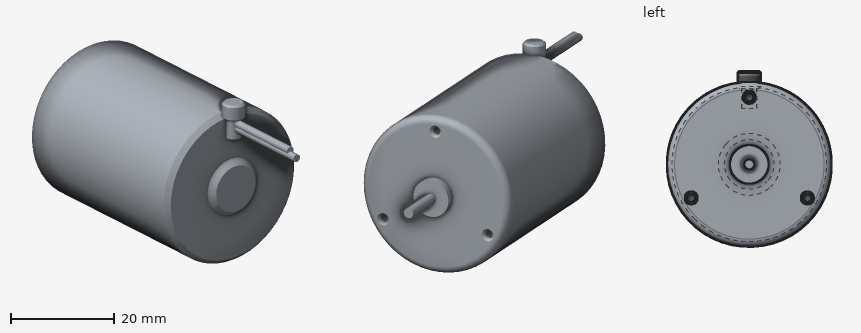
import cadquery as cq


body_diameter = 32.0
body_length = 43.7
front_edge_radius = 1.5
rear_edge_chamfer = 1.0

shaft_diameter = 2.0
shaft_reach = 12.0
pilot_diameter = 7.5
pilot_height = 2.0

bearing_base_diameter = 12.0
bearing_height = 1.2
bearing_taper_angle = 45.0

hole_count = 3
hole_circle_diameter = 26.0
hole_diameter = 1.6
hole_depth = 4.0
drill_point_depth = hole_diameter / 4
hole_mouth_diameter = 2.5
hole_mouth_depth = (hole_mouth_diameter - hole_diameter) / 2

grommet_x = body_length + 0.5
grommet_top_z = body_diameter / 2 + 2.14
grommet_head_diameter = 4.5
grommet_head_height = 3.4
grommet_head_chamfer = 0.4
grommet_stem_diameter = 3.0
grommet_stem_bottom_z = 10.8
grommet_head_bottom_z = grommet_top_z - grommet_head_height

wire_diameter = 1.6
wire_spacing = 0.95
wire_end_stagger = 2.0
overall_length = 76.19
lower_wire_end_x = overall_length - shaft_reach
upper_wire_end_x = lower_wire_end_x - wire_end_stagger
upper_wire_z = grommet_head_bottom_z - wire_diameter / 2
lower_wire_z = upper_wire_z - wire_spacing


def rod(diameter, start_x, end_x, z=0.0):
    """Cylinder parallel to X in the plane Y = 0."""
    return (
        cq.Workplane("YZ", origin=(start_x, 0, z))
        .circle(diameter / 2)
        .extrude(end_x - start_x)
    )


def make_body():
    body = rod(body_diameter, 0, body_length)
    body = body.faces("<X").edges().fillet(front_edge_radius)
    return body.faces(">X").edges().chamfer(rear_edge_chamfer)


def make_bearing_boss():
    return (
        cq.Workplane("YZ", origin=(body_length, 0, 0))
        .circle(bearing_base_diameter / 2)
        .extrude(bearing_height, taper=bearing_taper_angle)
    )


def make_mounting_hole():
    """Countersunk blind hole centred on the X axis, as a cutting solid."""
    hole_radius = hole_diameter / 2
    return (
        cq.Workplane("XY")
        .lineTo(0, hole_mouth_diameter / 2)
        .lineTo(hole_mouth_depth, hole_radius)
        .lineTo(hole_depth, hole_radius)
        .lineTo(hole_depth + drill_point_depth, 0)
        .close()
        .revolve(360, (0, 0, 0), (1, 0, 0))
    )


def cut_mounting_holes(motor):
    top_hole = make_mounting_hole().translate((0, 0, hole_circle_diameter / 2))
    for index in range(hole_count):
        motor = motor.cut(top_hole.rotate((0, 0, 0), (1, 0, 0), index * 360 / hole_count))
    return motor


def make_grommet():
    head = (
        cq.Workplane("XY", origin=(grommet_x, 0, grommet_head_bottom_z))
        .circle(grommet_head_diameter / 2)
        .extrude(grommet_head_height)
        .faces("<Z or >Z")
        .chamfer(grommet_head_chamfer)
    )
    stem = (
        cq.Workplane("XY", origin=(grommet_x, 0, grommet_stem_bottom_z))
        .circle(grommet_stem_diameter / 2)
        .extrude(grommet_head_bottom_z - grommet_stem_bottom_z)
    )
    return head.union(stem)


def make_wires():
    upper_wire = rod(wire_diameter, grommet_x, upper_wire_end_x, upper_wire_z)
    lower_wire = rod(wire_diameter, grommet_x, lower_wire_end_x, lower_wire_z)
    return upper_wire.union(lower_wire)


motor = cut_mounting_holes(make_body())
motor = motor.union(rod(pilot_diameter, -pilot_height, 0))
motor = motor.union(rod(shaft_diameter, -shaft_reach, -pilot_height))
motor = motor.union(make_bearing_boss())
motor = motor.union(make_grommet())
result = motor.union(make_wires())